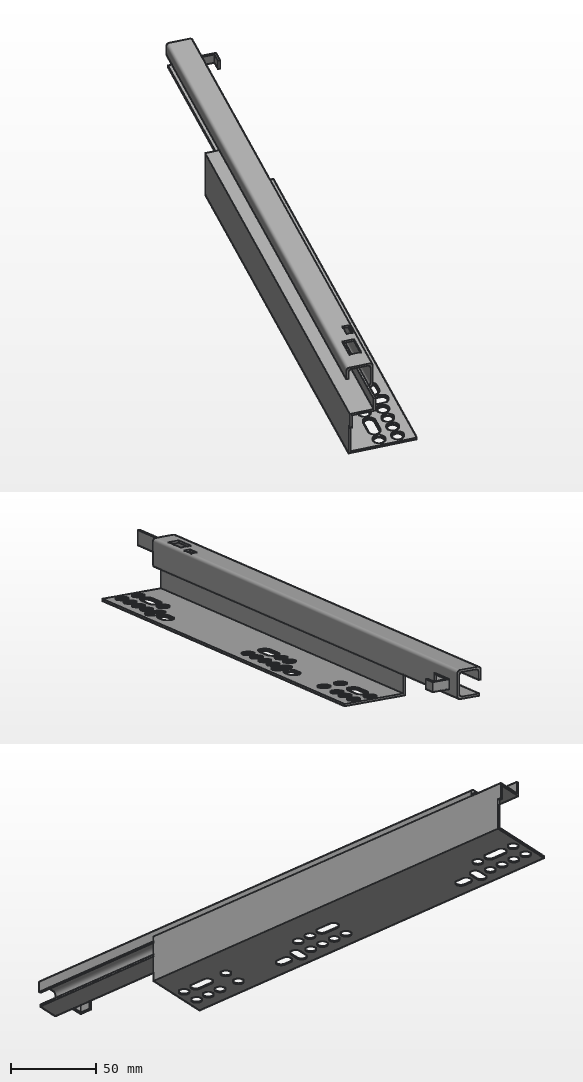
import cadquery as cq

overall_length = 359.0
overall_height = 42.0
sheet = 1.5

floor_width = 42.5
rail_start = 93.7
floor_end = 357.0
shelf_top = 31.0
shelf_width = 16.0
upright_top = 38.8
tongue_bottom = 20.5

hole_diameter = 6.5
countersink = 0.7
hole_pitch = 9.0
slot_length = 10.8
cross_slot_length = 12.0
back_row_y = 32.3
front_row_y = 21.0
first_group_x = 99.8
first_group_count = 3
first_group_last_x = 131.8
second_group_x = 187.0
later_group_count = 4
third_group_x = 324.0
cross_slot_offset = 9.5
long_slot_offset = 20.5

slider_length = 330.3
slider_front_y = 7.5
slider_back_y = 24.0
slider_bottom = 24.0
flange_front_y = 8.5
lip_bottom = 33.7
bend_radius = 2.0

hook_start = 8.5
hook_end = 16.5
hook_back_y = 35.5
hook_bottom = 28.5
hook_top = 34.5
window_end = 25.0

small_opening = (291.5, 299.0, 18.3, 22.3)
large_opening = (305.0, 318.5, 13.5, 21.0)


def box(x0, x1, y0, y1, z0, z1):
    """Box between two opposite corners."""
    return cq.Workplane("XY").box(x1 - x0, y1 - y0, z1 - z0, centered=False).translate((x0, y0, z0))


def floor_slot(x, y, length, angle=0):
    """Cutter for a countersunk round-ended slot through the floor."""
    through = cq.Workplane("XY").slot2D(length, hole_diameter, angle).extrude(sheet)
    rim = (
        cq.Workplane("XY", origin=(0, 0, sheet))
        .slot2D(length + 2 * countersink, hole_diameter + 2 * countersink, angle)
        .extrude(-countersink, taper=45)
    )
    return through.union(rim).translate((x, y, 0))


def floor_hole(x, y):
    """Cutter for a countersunk round hole through the floor."""
    through = cq.Workplane("XY").circle(hole_diameter / 2).extrude(sheet)
    rim = (
        cq.Workplane("XY", origin=(0, 0, sheet))
        .circle(hole_diameter / 2 + countersink)
        .extrude(-countersink, taper=45)
    )
    return through.union(rim).translate((x, y, 0))


def group_places(first_x, count):
    """X places of evenly pitched holes."""
    return [first_x + i * hole_pitch for i in range(count)]


def make_fixed_rail():
    """Floor, wall, shelf and upright, with the mounting holes."""
    rail = box(rail_start, floor_end, 0, floor_width, 0, sheet)
    rail = rail.union(box(rail_start, floor_end, 0, sheet, 0, shelf_top))
    rail = rail.union(box(floor_end, overall_length, 0, sheet, tongue_bottom, shelf_top))
    rail = rail.union(box(rail_start, overall_length, 0, shelf_width, shelf_top - sheet, shelf_top))
    rail = rail.union(
        box(rail_start, overall_length, shelf_width - sheet, shelf_width, shelf_top - sheet, upright_top)
    )

    first_group = group_places(first_group_x, first_group_count)
    second_group = group_places(second_group_x, later_group_count)
    third_group = group_places(third_group_x, later_group_count)

    for x in first_group + [first_group_last_x] + second_group + third_group:
        rail = rail.cut(floor_hole(x, back_row_y))
    for x in (second_group_x, third_group_x):
        rail = rail.cut(floor_slot(x - long_slot_offset, back_row_y, slot_length))
        rail = rail.cut(floor_slot(x - cross_slot_offset, back_row_y, cross_slot_length, 90))

    for x in (first_group[0], first_group_last_x, *second_group[:2], third_group[0], third_group[-1]):
        rail = rail.cut(floor_hole(x, front_row_y))
    for x in (first_group[1], second_group[2], third_group[1]):
        rail = rail.cut(floor_slot(x + hole_pitch / 2, front_row_y, hole_pitch + hole_diameter))
    return rail


def make_slider():
    """Channel with a lip, a hook with its window, and two top openings."""
    channel = box(0, slider_length, slider_front_y, slider_back_y, slider_bottom, overall_height)
    channel = channel.edges("|X and (>Z or >Y)").fillet(bend_radius)
    inside = box(
        0, slider_length,
        slider_front_y + sheet, slider_back_y - sheet,
        slider_bottom + sheet, overall_height - sheet,
    )
    inside = inside.edges("|X and (>Z or >Y)").fillet(bend_radius)
    channel = channel.cut(inside)

    channel = channel.cut(
        box(0, slider_length, slider_front_y, slider_front_y + sheet, slider_bottom + sheet, lip_bottom)
    )
    channel = channel.cut(
        box(0, slider_length, slider_front_y, flange_front_y, slider_bottom, slider_bottom + sheet)
    )

    channel = channel.cut(
        box(hook_start + sheet, window_end, slider_back_y - sheet, slider_back_y, hook_bottom, hook_top)
    )

    arm = box(hook_start, hook_start + sheet, slider_back_y - sheet, hook_back_y, hook_bottom, hook_top)
    leg = box(hook_start, hook_end, hook_back_y - sheet, hook_back_y, hook_bottom, hook_top)
    channel = channel.union(arm.union(leg))

    for x0, x1, y0, y1 in (small_opening, large_opening):
        channel = channel.cut(box(x0, x1, y0, y1, overall_height - bend_radius, overall_height))
    return channel


fixed_rail = make_fixed_rail()
slider = make_slider()

result = cq.Compound.makeCompound([fixed_rail.val(), slider.val()])